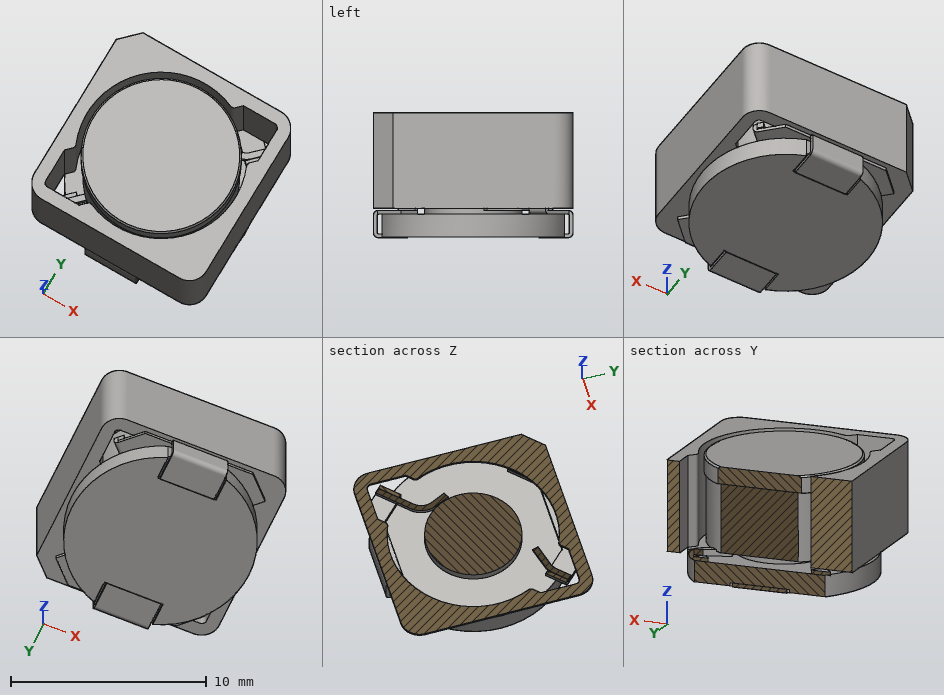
import cadquery as cq
import math


shield_side = 10.2
shield_bottom = 1.5
shield_height = 4.9
shield_top = shield_bottom + shield_height
shield_middle = shield_bottom + shield_height / 2
shield_corner = 1.0
shield_bore_radius = 4.4
pocket_width = 3.0
pocket_corner_radius = 0.25
pocket_mouth_radius = 0.2

base_radius = 4.95
base_flat = 4.67
base_bottom = 0.04
base_top = 1.2
spool_radius = 2.5
flange_radius = 4.1
flange_top = 6.35
flange_thickness = 0.94
flange_chamfer = 0.09
flange_bottom = flange_top - flange_thickness
foot_recess_width = 2 * math.sqrt(base_radius**2 - base_flat**2)

sheet = 0.2
bend_radius = 0.25
foot_end = 3.37
foot_width = 3.02
plate_top = base_top + sheet
plate_inner = 4.13
plate_outer = shield_side / 2 - sheet
arm_inner = 4.39
arm_outer = 5.59

coil_radius = 4.0
lead_width = 0.34
lead_bend_radius = 1.02
inner_lead_bend_start = 3.57
inner_lead_bend_angle = 70.0
inner_lead_tail = 0.82
outer_lead_bend_start = 4.76
outer_lead_bend_angle = 30.0
outer_lead_tail = 1.22
outer_lead_bottom = 1.49
coil_bottom = plate_top + lead_width

arm_end = lead_width / 2 + sheet


def block(x_range, y_range, z_range):
    """Axis-aligned box between the given limits."""
    sizes = [high - low for low, high in (x_range, y_range, z_range)]
    corner = (x_range[0], y_range[0], z_range[0])
    return cq.Workplane("XY").box(*sizes, centered=False).translate(corner)


def disc(radius, bottom, top):
    return cq.Workplane("XY").workplane(offset=bottom).circle(radius).extrude(top - bottom)


def diagonal_point(along, across):
    """Point at a distance along the (-X, -Y) diagonal and across it toward -X, +Y."""
    return (-(along + across) / math.sqrt(2), -(along - across) / math.sqrt(2))


def make_shield():
    ring = cq.Workplane("XY").workplane(offset=shield_bottom).rect(shield_side, shield_side)
    ring = ring.extrude(shield_height)
    chamfered_corner = cq.selectors.NearestToPointSelector(
        (-shield_side / 2, shield_side / 2, shield_middle)
    )
    ring = ring.edges(chamfered_corner).chamfer(shield_corner)
    for x_side, y_side in ((-1, -1), (1, -1), (1, 1)):
        rounded_corner = cq.selectors.NearestToPointSelector(
            (x_side * shield_side / 2, y_side * shield_side / 2, shield_middle)
        )
        ring = ring.edges(rounded_corner).fillet(shield_corner)

    band = cq.Workplane("XY").workplane(offset=shield_bottom)
    band = band.transformed(rotate=(0, 0, 45)).rect(2 * shield_side, pocket_width)
    band = band.extrude(shield_height)
    pocket_limit = cq.Workplane("XY").workplane(offset=shield_bottom)
    pocket_limit = pocket_limit.rect(2 * shield_bore_radius, 2 * shield_bore_radius)
    pocket_limit = pocket_limit.extrude(shield_height).edges("|Z").fillet(pocket_corner_radius)
    opening = disc(shield_bore_radius, shield_bottom, shield_top).union(band.intersect(pocket_limit))

    half_band = pocket_width / 2
    along_band = math.sqrt(shield_bore_radius**2 - half_band**2)
    for end in (-1, 1):
        for side in (-1, 1):
            mouth = diagonal_point(end * along_band, side * half_band)
            mouth_edge = cq.selectors.NearestToPointSelector((*mouth, shield_middle))
            opening = opening.edges("|Z").edges(mouth_edge).fillet(pocket_mouth_radius)
    return ring.cut(opening)


def make_core():
    base = disc(base_radius, base_bottom, base_top)
    flats = block((-base_radius, base_radius), (-base_flat, base_flat), (base_bottom, base_top))
    base = base.intersect(flats)
    half_recess = foot_recess_width / 2
    for y_range in ((-base_radius, -foot_end), (foot_end, base_radius)):
        base = base.cut(block((-half_recess, half_recess), y_range, (0, sheet)))
    spool = disc(spool_radius, base_top, flange_bottom)
    flange = disc(flange_radius, flange_bottom, flange_top).faces(">Z").chamfer(flange_chamfer)
    return base.union(spool).union(flange)


def make_terminal():
    """Terminal on the -Y side: C-shaped clip, top plate with two arms, and a lip beside the lead."""
    outer = block((-foot_width / 2, foot_width / 2), (-shield_side / 2, -foot_end), (0, plate_top))
    outer = outer.edges("|X and <Y").fillet(bend_radius)
    inner = block((-foot_width / 2, foot_width / 2), (-plate_outer, -foot_end), (sheet, base_top))
    inner = inner.edges("|X and <Y").fillet(bend_radius - sheet)
    clip = outer.cut(inner)
    beyond_plate = block((-foot_width, foot_width), (-plate_inner, 0), (base_top, plate_top))
    clip = clip.cut(beyond_plate)

    arm_root_inner = arm_inner * math.sqrt(2) - plate_inner
    arm_root_outer = arm_outer * math.sqrt(2) - plate_outer
    left_half = [
        (-arm_root_inner, -plate_inner),
        diagonal_point(arm_inner, arm_end),
        diagonal_point(arm_outer, arm_end),
        (-arm_root_outer, -plate_outer),
    ]
    right_half = [(-x, y) for x, y in reversed(left_half)]
    plate = cq.Workplane("XY").workplane(offset=base_top).polyline(left_half + right_half).close()
    plate = plate.extrude(sheet)

    lip_outline = [
        diagonal_point(arm_inner, arm_end),
        diagonal_point(arm_outer, arm_end),
        diagonal_point(arm_outer, arm_end - sheet),
        diagonal_point(arm_inner, arm_end - sheet),
    ]
    lip = cq.Workplane("XY").workplane(offset=base_top).polyline(lip_outline).close()
    lip = lip.extrude(sheet + lead_width)
    terminal = clip.union(plate).union(lip)
    lip_foot = diagonal_point((arm_inner + arm_outer) / 2, arm_end)
    bend_edge = cq.selectors.NearestToPointSelector((*lip_foot, base_top))
    return terminal.edges(bend_edge).fillet(bend_radius)


def make_lead(bottom, bend_start, bend_angle, tail):
    """Square wire that runs in along the (-X, -Y) diagonal, bends and ends in a straight tail.

    A positive bend angle turns the wire to the left, a negative one to the right.
    It is laid out along the X axis and then turned onto the diagonal.
    """
    turn = math.copysign(1, bend_angle)
    middle = bottom + lead_width / 2

    def on_bend(angle):
        radians = math.radians(angle)
        x = -bend_start + lead_bend_radius * math.sin(radians)
        return (x, turn * lead_bend_radius * (1 - math.cos(radians)))

    angle = abs(bend_angle)
    bend_end = on_bend(angle)
    tail_end = (
        bend_end[0] + tail * math.cos(math.radians(angle)),
        bend_end[1] + turn * tail * math.sin(math.radians(angle)),
    )
    path = cq.Workplane("XY").workplane(offset=middle).moveTo(-arm_outer, 0).lineTo(-bend_start, 0)
    path = path.threePointArc(on_bend(angle / 2), bend_end).lineTo(*tail_end)
    section = cq.Workplane("YZ").workplane(offset=-arm_outer).center(0, middle)
    lead = section.rect(lead_width, lead_width).sweep(path)
    return lead.rotate((0, 0, 0), (0, 0, 1), 45)


def make_winding():
    coil = disc(coil_radius, coil_bottom, flange_bottom)
    coil = coil.cut(disc(spool_radius, coil_bottom, flange_bottom))
    inner_lead = make_lead(plate_top, inner_lead_bend_start, inner_lead_bend_angle, inner_lead_tail)
    outer_lead = make_lead(
        outer_lead_bottom, outer_lead_bend_start, -outer_lead_bend_angle, outer_lead_tail
    )
    outer_lead = outer_lead.rotate((0, 0, 0), (0, 0, 1), 180)
    return coil.union(inner_lead).union(outer_lead)


shield = make_shield()
core = make_core()
winding = make_winding()
terminals = [
    make_terminal().rotate((0, 0, 0), (0, 0, 1), angle)
    for angle in (0, 180)
]

result = cq.Compound.makeCompound(
    [shield.val(), core.val(), winding.val(), *[terminal.val() for terminal in terminals]]
)